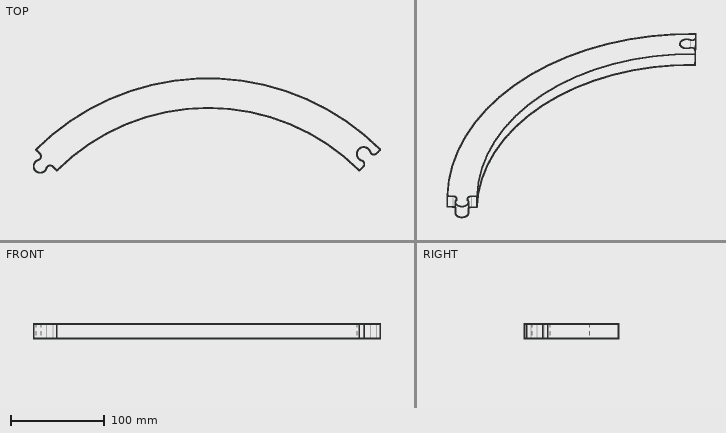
import cadquery as cq
import math

thickness = 16.0
track_width = 32.0
outer_radius = 261.85
sweep_angle = 90.0

head_reach = 9.35
knob_radius = 7.1
knob_flare = 4.2
clearance = 0.2

inner_radius = outer_radius - track_width
middle_radius = outer_radius - track_width / 2

crown_angle = 90.0
socket_angle = crown_angle - sweep_angle / 2
knob_angle = crown_angle + sweep_angle / 2


def on_circle(radius, angle):
    """Point at an angle in degrees, counter-clockwise from +X about the track centre."""
    return radius * math.cos(math.radians(angle)), radius * math.sin(math.radians(angle))


def make_track(start_angle, end_angle):
    """Plain arc-shaped bar, with its curve centred on the origin."""
    middle_angle = (start_angle + end_angle) / 2
    return (
        cq.Workplane("XY")
        .moveTo(*on_circle(outer_radius, start_angle))
        .threePointArc(on_circle(outer_radius, middle_angle), on_circle(outer_radius, end_angle))
        .lineTo(*on_circle(inner_radius, end_angle))
        .threePointArc(on_circle(inner_radius, middle_angle), on_circle(inner_radius, start_angle))
        .close()
        .extrude(thickness)
    )


def make_connector(end_angle, head_radius, flare_radius):
    """Solid round head whose flared neck starts on the end face at end_angle, pointing counter-clockwise."""
    centre_distance = head_radius + flare_radius
    flare_centre_x = math.sqrt(centre_distance**2 - (head_reach - flare_radius) ** 2)
    touch_share = head_radius / centre_distance
    touch_x = flare_centre_x * touch_share
    touch_y = head_reach + (flare_radius - head_reach) * touch_share
    face_direction = math.radians(270)
    head_direction = math.atan2(head_reach - flare_radius, -flare_centre_x)
    middle_direction = (face_direction + head_direction) / 2
    flare_x = flare_centre_x + flare_radius * math.cos(middle_direction)
    flare_y = flare_radius + flare_radius * math.sin(middle_direction)
    return (
        cq.Workplane("XY")
        .moveTo(flare_centre_x, 0)
        .threePointArc((flare_x, flare_y), (touch_x, touch_y))
        .threePointArc((0, head_reach + head_radius), (-touch_x, touch_y))
        .threePointArc((-flare_x, flare_y), (-flare_centre_x, 0))
        .close()
        .extrude(thickness)
        .translate((middle_radius, 0, 0))
        .rotate((0, 0, 0), (0, 0, 1), end_angle)
    )


track = make_track(socket_angle, knob_angle)
knob = make_connector(knob_angle, knob_radius, knob_flare)
socket = make_connector(socket_angle, knob_radius + clearance, knob_flare - clearance)

result = track.union(knob).cut(socket)